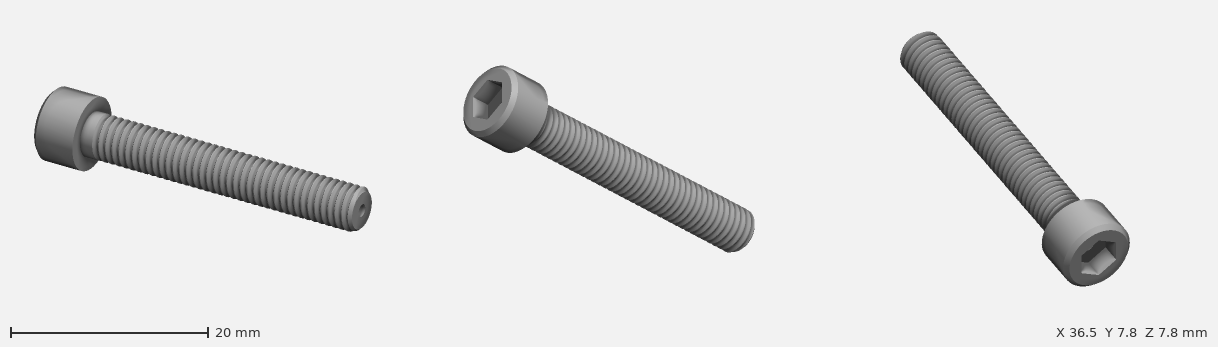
import cadquery as cq
import math

total_length = 36.53

head_diameter = 7.8
head_length = 4.8
head_chamfer = 0.47
socket_across_flats = 4.1
socket_depth = 2.15
bore_diameter = 1.35

shank_diameter = 4.82
shank_length = total_length - head_length
pitches_along_shank = 40
pitch = shank_length / pitches_along_shank
thread_start = 6.17
flank_angle = math.radians(30)
crest_flat = pitch / 8
root_flat = pitch / 4
thread_depth = (pitch - crest_flat - root_flat) / 2 / math.tan(flank_angle)
tip_chamfer = thread_depth
cutter_overlap = 0.05

head_radius = head_diameter / 2
shank_radius = shank_diameter / 2


def make_blank():
    """Head and smooth shank turned about the X axis, with the head and tip chamfers."""
    half_profile = [
        (0, 0),
        (0, head_radius - head_chamfer),
        (head_chamfer, head_radius),
        (head_length, head_radius),
        (head_length, shank_radius),
        (total_length - tip_chamfer, shank_radius),
        (total_length, shank_radius - tip_chamfer),
        (total_length, 0),
    ]
    return cq.Workplane("XZ").polyline(half_profile).close().revolve(360, (0, 0), (1, 0))


def make_thread_groove():
    """Helical trapezoid cutter that starts on the +Y side and runs out past the tip."""
    root_radius = shank_radius - thread_depth
    outer_radius = shank_radius + cutter_overlap
    root_half = root_flat / 2
    outer_half = root_half + (outer_radius - root_radius) * math.tan(flank_angle)
    corners = [
        (root_radius, -root_half),
        (outer_radius, -outer_half),
        (outer_radius, outer_half),
        (root_radius, root_half),
    ]

    turns = math.ceil((total_length - thread_start) / pitch) + 1
    faces = []
    for turn in range(turns):
        helices = [
            cq.Wire.makeHelix(pitch, pitch, radius, center=cq.Vector(0, 0, axial + turn * pitch))
            for radius, axial in corners
        ]
        for first, second in zip(helices, helices[1:] + helices[:1]):
            faces.append(cq.Face.makeRuledSurface(first, second))

    for cap_shift in (0, turns * pitch):
        cap_points = [cq.Vector(radius, 0, axial + cap_shift) for radius, axial in corners]
        faces.append(cq.Face.makeFromWires(cq.Wire.makePolygon(cap_points, close=True)))
    groove = cq.Solid.makeSolid(cq.Shell.makeShell(faces))

    screw_axis = cq.Plane.named("YZ", (thread_start, 0, 0))
    return groove.moved(cq.Location(screw_axis))


def make_socket():
    """Blind hexagonal socket with corners pointing to +Z and -Z."""
    across_corners = socket_across_flats / math.cos(math.radians(30))
    return (
        cq.Workplane("YZ")
        .transformed(rotate=(0, 0, 90))
        .polygon(6, across_corners)
        .extrude(socket_depth)
    )


def make_bore():
    """Round hole through the full length of the screw."""
    return cq.Workplane("YZ").circle(bore_diameter / 2).extrude(total_length)


result = make_blank().cut(make_thread_groove()).cut(make_socket()).cut(make_bore())